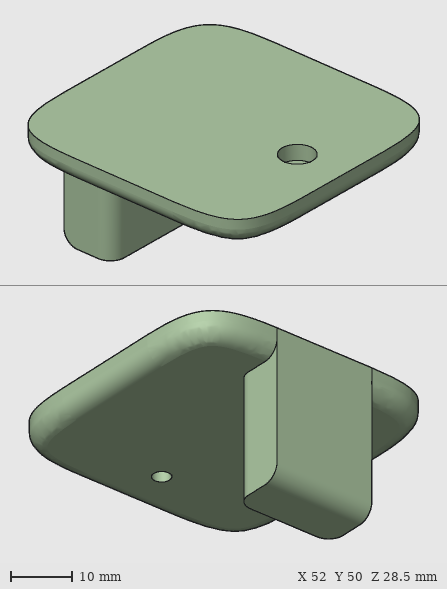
import cadquery as cq

plate_length = 52.0
plate_width = 50.0
plate_thickness = 5.0
corner_reach = 15.05
corner_fullness = 0.82
edge_radius = 3.0

leg_depth = 10.5
leg_width = 20.0
overall_height = 28.5

hole_x = 42.0
hole_diameter = 3.35
counterbore_diameter = 6.5
counterbore_depth = 3.0


def blended_corner(outline, start, corner, end):
    """Add a smooth corner curve that leaves and meets the sides tangentially."""
    def handle(side_point):
        return tuple(p + corner_fullness * (c - p) for p, c in zip(side_point, corner))

    return outline.bezier([start, handle(start), handle(end), end])


def make_plate():
    half_width = plate_width / 2
    near_x = corner_reach
    far_x = plate_length - corner_reach
    side_y = half_width - corner_reach

    outline = cq.Workplane("XY").moveTo(near_x, -half_width).lineTo(far_x, -half_width)
    outline = blended_corner(
        outline, (far_x, -half_width), (plate_length, -half_width), (plate_length, -side_y))
    outline = outline.lineTo(plate_length, side_y)
    outline = blended_corner(
        outline, (plate_length, side_y), (plate_length, half_width), (far_x, half_width))
    outline = outline.lineTo(near_x, half_width)
    outline = blended_corner(outline, (near_x, half_width), (0, half_width), (0, side_y))
    outline = outline.lineTo(0, -side_y)
    outline = blended_corner(outline, (0, -side_y), (0, -half_width), (near_x, -half_width))

    plate = outline.close().extrude(-plate_thickness)
    return plate.faces("<Z").edges().fillet(edge_radius)


def make_leg():
    leg = cq.Workplane("XY").box(
        leg_depth, leg_width, overall_height, centered=(False, True, False)
    ).translate((0, 0, -overall_height))
    leg = leg.edges("|Z and >X").fillet(edge_radius)
    return leg.faces("<Z").edges("|Y and <X").fillet(edge_radius)


result = (
    make_plate()
    .union(make_leg())
    .faces(">Z")
    .workplane(origin=(hole_x, 0, 0))
    .cboreHole(hole_diameter, counterbore_diameter, counterbore_depth)
)